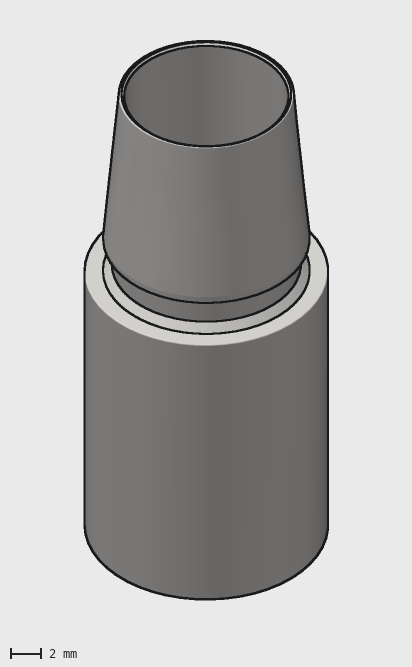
import cadquery as cq
import math

total_height = 35.55
body_diameter = 15.9
bore_diameter = 10.7

taper_length = 11.55
collar_height = 0.5
neck_height = 1.92
flare_height = 0.57

collar_diameter = 13.45
neck_diameter = 12.35
taper_angle = 5.0

edge_radius = 0.1
bore_chamfer = 0.18

collar_top = total_height - taper_length
collar_bottom = collar_top - collar_height
flare_top = collar_bottom - neck_height
shoulder = flare_top - flare_height

body_radius = body_diameter / 2
bore_radius = bore_diameter / 2
collar_radius = collar_diameter / 2
neck_radius = neck_diameter / 2
flare_radius = neck_radius + flare_height
rim_radius = collar_radius - taper_length * math.tan(math.radians(taper_angle))


def revolve_outline(points):
    """Revolve a closed outline of (radius, z) points about the Z axis."""
    return cq.Workplane("XZ").polyline(points).close().revolve(360, (0, 0), (0, 1))


def make_body():
    """Cylindrical body with both outer edges rounded."""
    body = cq.Workplane("XY").circle(body_radius).extrude(shoulder)
    return body.faces("|Z").edges().fillet(edge_radius)


def make_neck():
    """Neck that joins the body through a conical flare."""
    return revolve_outline([
        (0, shoulder),
        (flare_radius, shoulder),
        (neck_radius, flare_top),
        (neck_radius, collar_bottom),
        (0, collar_bottom),
    ])


def make_spigot():
    """Short collar with a tapered spigot above it, rounded at both ends."""
    spigot = revolve_outline([
        (0, collar_bottom),
        (collar_radius, collar_bottom),
        (collar_radius, collar_top),
        (rim_radius, total_height),
        (0, total_height),
    ])
    return spigot.faces("|Z").edges().fillet(edge_radius)


def make_bore():
    """Through bore that opens out in a chamfer at the top rim."""
    return revolve_outline([
        (0, 0),
        (bore_radius, 0),
        (bore_radius, total_height - bore_chamfer),
        (bore_radius + bore_chamfer, total_height),
        (0, total_height),
    ])


result = make_body().union(make_neck()).union(make_spigot()).cut(make_bore())